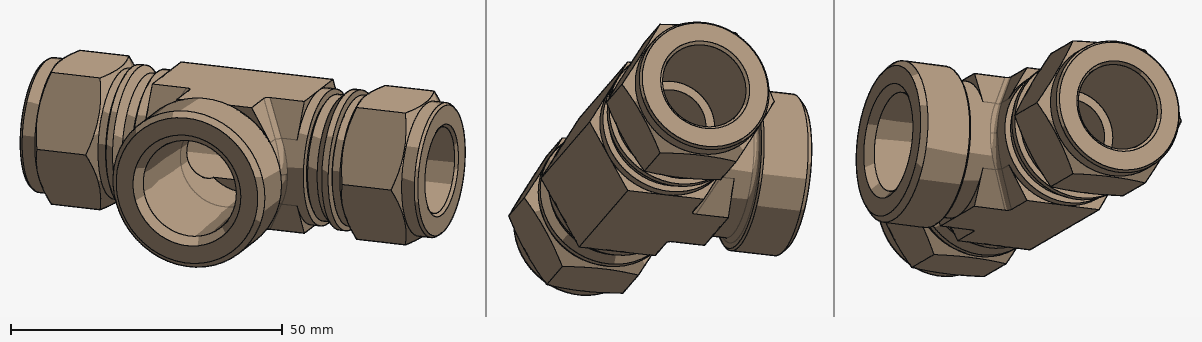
import cadquery as cq
import math

HALF_LENGTH = 39.2
BRANCH_LENGTH = 28.5

HEX_FLATS = 25.4
HEX_INRADIUS = HEX_FLATS / 2
HEX_CORNERS = HEX_FLATS / math.cos(math.radians(30))
HEX_CORNER_RADIUS = HEX_CORNERS / 2
HEX_CHAMFER_ANGLE = 30

COLLAR_DIAMETER = 30.0
BLOCK_HALF = COLLAR_DIAMETER / 2
BRANCH_HEX_END = 14.4
CROTCH_FILLET = 1.0
PLANE_TOLERANCE = 0.001

COLLAR_START = 18.6
COLLAR_REAR_CHAMFER = 0.4
COLLAR_FRONT_CHAMFER = 1.0
NECK_FILLET = 0.9

SHOULDER_END = 16.9
RELIEF_END = 17.3
RING_NECK_END = 19.2
FLANGE_START = 20.6
FLANGE_END = 21.9
SKIRT_START = 22.35
RELIEF_DIAMETER = 22.2
RING_NECK_DIAMETER = 23.5
FLANGE_DIAMETER = 26.1

NUT_HEX_START = 23.85
NUT_HEX_END = 36.2
SKIRT_DIAMETER = 24.3
NOSE_DIAMETER = 25.0
NOSE_CHAMFER = 0.55
NOSE_CHAMFER_DEPTH = 0.4

RUN_BORE = 12.7
TUBE_BORE = 16.1
TUBE_MOUTH = 17.2
TUBE_STOP = 19.4
BRANCH_BORE = 17.2
THREAD_MOUTH = 18.35
THREAD_LENGTH = 18.8
COUNTERSINK = 21.25


def revolved_profile(stations):
    """Solid of revolution about +X from (position, radius) stations."""
    first = stations[0][0]
    last = stations[-1][0]
    outline = [(first, 0)] + stations + [(last, 0)]
    return cq.Workplane("XY").polyline(outline).close().revolve(360, (0, 0, 0), (1, 0, 0))


def toward_branch(solid):
    """Turn a solid built along +X so that it points along -Y."""
    return solid.rotate((0, 0, 0), (0, 0, 1), -90)


def hex_bar(start, end):
    """Hexagonal bar along X with two corners on the Y axis."""
    return cq.Workplane("YZ").workplane(offset=start).polygon(6, HEX_CORNERS).extrude(end - start)


def corner_trimmed_bar(start, end, trimmed_sides):
    """Hexagonal bar along X; each listed Y side is cut back to the middles of its sloping flats."""
    flat_middle = HEX_INRADIUS * math.cos(math.radians(30))
    bar = hex_bar(start, end)
    for side in trimmed_sides:
        corner = (
            cq.Workplane("XY")
            .box(end - start, HEX_CORNERS, HEX_CORNERS)
            .translate(((start + end) / 2, side * (flat_middle + HEX_CORNER_RADIUS), 0))
        )
        bar = bar.cut(corner)
    return bar


def is_crotch_edge(edge):
    """True for an edge in a diagonal plane where the branch leaves the block."""
    middle = edge.Center()
    return middle.y < -HEX_INRADIUS / 2 and abs(abs(middle.x) - abs(middle.y)) < PLANE_TOLERANCE


def make_block():
    """Tee-shaped block with filleted crotches; round cores fill the trimmed corners."""
    run = corner_trimmed_bar(-BLOCK_HALF, BLOCK_HALF, [-1])
    run_core = revolved_profile([(-SHOULDER_END, HEX_INRADIUS), (SHOULDER_END, HEX_INRADIUS)])
    branch = toward_branch(corner_trimmed_bar(0, BRANCH_HEX_END, [-1, 1]))
    branch_core = toward_branch(revolved_profile([(0, HEX_INRADIUS), (COLLAR_START, HEX_INRADIUS)]))
    block = run.union(run_core).union(branch.union(branch_core))
    crotch = [edge for edge in block.edges().vals() if is_crotch_edge(edge)]
    return block.newObject(crotch).fillet(CROTCH_FILLET)


def make_collar():
    """Branch collar with its root fillet onto the neck."""
    radius = COLLAR_DIAMETER / 2
    fillet_middle = NECK_FILLET * (1 - math.sqrt(0.5))
    outline = (
        cq.Workplane("XY")
        .moveTo(COLLAR_START - NECK_FILLET, 0)
        .lineTo(COLLAR_START - NECK_FILLET, HEX_INRADIUS)
        .threePointArc(
            (COLLAR_START - fillet_middle, HEX_INRADIUS + fillet_middle),
            (COLLAR_START, HEX_INRADIUS + NECK_FILLET),
        )
        .lineTo(COLLAR_START, radius - COLLAR_REAR_CHAMFER)
        .lineTo(COLLAR_START + COLLAR_REAR_CHAMFER, radius)
        .lineTo(BRANCH_LENGTH - COLLAR_FRONT_CHAMFER, radius)
        .lineTo(BRANCH_LENGTH, radius - COLLAR_FRONT_CHAMFER)
        .lineTo(BRANCH_LENGTH, 0)
        .close()
    )
    return toward_branch(outline.revolve(360, (0, 0, 0), (1, 0, 0)))


def make_rings():
    """Turned grooves, flange and nut skirt between the block and the nut hexagon."""
    return revolved_profile([
        (0, RELIEF_DIAMETER / 2),
        (RELIEF_END, RELIEF_DIAMETER / 2),
        (RELIEF_END, RING_NECK_DIAMETER / 2),
        (RING_NECK_END, RING_NECK_DIAMETER / 2),
        (FLANGE_START, FLANGE_DIAMETER / 2),
        (FLANGE_END, FLANGE_DIAMETER / 2),
        (FLANGE_END, RELIEF_DIAMETER / 2),
        (SKIRT_START, RELIEF_DIAMETER / 2),
        (SKIRT_START, SKIRT_DIAMETER / 2),
        (NUT_HEX_START, SKIRT_DIAMETER / 2),
    ])


def make_nut():
    """Hexagon with corners turned off at both ends, and a round nose."""
    slope = math.tan(math.radians(HEX_CHAMFER_ANGLE))
    skirt_radius = SKIRT_DIAMETER / 2
    nose_radius = NOSE_DIAMETER / 2
    turned = revolved_profile([
        (NUT_HEX_START, skirt_radius),
        (NUT_HEX_START + (HEX_CORNER_RADIUS - skirt_radius) * slope, HEX_CORNER_RADIUS),
        (NUT_HEX_END - (HEX_CORNER_RADIUS - nose_radius) * slope, HEX_CORNER_RADIUS),
        (NUT_HEX_END, nose_radius),
    ])
    nose = revolved_profile([
        (NUT_HEX_END, nose_radius),
        (HALF_LENGTH - NOSE_CHAMFER, nose_radius),
        (HALF_LENGTH, nose_radius - NOSE_CHAMFER_DEPTH),
    ])
    return hex_bar(NUT_HEX_START, NUT_HEX_END).intersect(turned).union(nose)


def make_run_bore():
    """Through passage with a tube socket and chamfered mouth at each end."""
    mouth_depth = (TUBE_MOUTH - TUBE_BORE) / 2
    socket = revolved_profile([
        (TUBE_STOP, TUBE_BORE / 2),
        (HALF_LENGTH - mouth_depth, TUBE_BORE / 2),
        (HALF_LENGTH, TUBE_MOUTH / 2),
    ])
    passage = revolved_profile([(-HALF_LENGTH, RUN_BORE / 2), (HALF_LENGTH, RUN_BORE / 2)])
    return passage.union(socket).union(socket.mirror("YZ"))


def make_branch_bore():
    """Bore to the run axis, opening into a tapered thread hole with a countersunk mouth."""
    countersink_depth = (COUNTERSINK - THREAD_MOUTH) / 2
    return toward_branch(revolved_profile([
        (0, BRANCH_BORE / 2),
        (BRANCH_LENGTH - THREAD_LENGTH, BRANCH_BORE / 2),
        (BRANCH_LENGTH - countersink_depth, THREAD_MOUTH / 2),
        (BRANCH_LENGTH, COUNTERSINK / 2),
    ]))


tube_end = make_rings().union(make_nut())

result = (
    make_block()
    .union(make_collar())
    .union(tube_end)
    .union(tube_end.mirror("YZ"))
    .cut(make_run_bore())
    .cut(make_branch_bore())
)